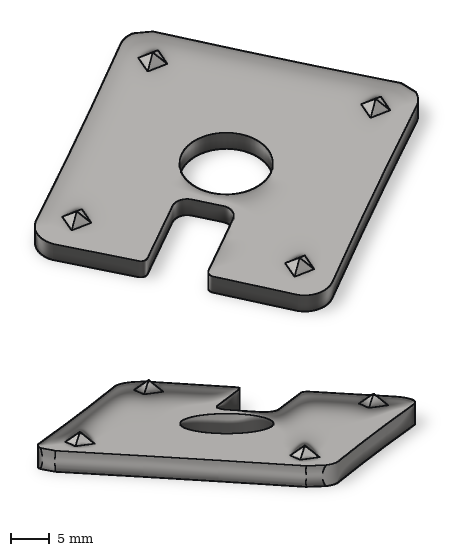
import cadquery as cq

half_width = 40.0 / 2
front_y = -21.7
back_y = 21.95
plate_thickness = 2.8
overall_height = 4.25
hole_radius = 6.0

corner_x = 3.45
corner_y = 3.93
corner_mid_x = 1.05
corner_mid_y = 1.15
pinch = 0.15
side_flat_half = 5.45

notch_half_width = 4.1
notch_end_y = -8.03
notch_end_radius = 2.0
mouth_radius = 0.9
end_flat_half = notch_half_width + mouth_radius

crown_depth = 0.17
crown_corner_x = 16.8
crown_end_x = 19.2
crown_end_drop = 1.15
cutter_reach = 1.75
cutter_margin = 0.45

stud_x = 15.05
stud_y = 16.27
stud_half_x = 1.95
stud_half_y = 2.2


def make_plate():
    """Rounded plate whose straight edges step in slightly towards a flat middle."""
    x, inner_x = half_width, half_width - pinch
    shoulder_x = half_width - corner_x
    mid_x = half_width - corner_mid_x
    front_shoulder = front_y + corner_y
    back_shoulder = back_y - corner_y
    return (
        cq.Workplane("XY")
        .moveTo(-end_flat_half, front_y + pinch)
        .lineTo(end_flat_half, front_y + pinch)
        .lineTo(shoulder_x, front_y)
        .threePointArc((mid_x, front_y + corner_mid_y), (x, front_shoulder))
        .lineTo(inner_x, -side_flat_half)
        .lineTo(inner_x, side_flat_half)
        .lineTo(x, back_shoulder)
        .threePointArc((mid_x, back_y - corner_mid_y), (shoulder_x, back_y))
        .lineTo(end_flat_half, back_y - pinch)
        .lineTo(-end_flat_half, back_y - pinch)
        .lineTo(-shoulder_x, back_y)
        .threePointArc((-mid_x, back_y - corner_mid_y), (-x, back_shoulder))
        .lineTo(-inner_x, side_flat_half)
        .lineTo(-inner_x, -side_flat_half)
        .lineTo(-x, front_shoulder)
        .threePointArc((-mid_x, front_y + corner_mid_y), (-shoulder_x, front_y))
        .close()
        .extrude(plate_thickness)
    )


def make_notch():
    """Slot with rounded inner corners and a mouth that flares in two small radii."""
    mouth_y = front_y + pinch
    flare_offset = mouth_radius * (1 - 0.5 ** 0.5)
    flare_x = notch_half_width + flare_offset
    flare_y = mouth_y + flare_offset
    return (
        cq.Workplane("XY")
        .moveTo(-end_flat_half, mouth_y)
        .threePointArc((-flare_x, flare_y), (-notch_half_width, mouth_y + mouth_radius))
        .lineTo(-notch_half_width, notch_end_y - notch_end_radius)
        .radiusArc((-notch_half_width + notch_end_radius, notch_end_y), notch_end_radius)
        .lineTo(notch_half_width - notch_end_radius, notch_end_y)
        .radiusArc((notch_half_width, notch_end_y - notch_end_radius), notch_end_radius)
        .lineTo(notch_half_width, mouth_y + mouth_radius)
        .threePointArc((flare_x, flare_y), (end_flat_half, mouth_y))
        .close()
        .extrude(plate_thickness)
    )


def make_crown_cutter():
    """Cutter swept along the back edge and across its corners, leaving a crown."""
    path = cq.Workplane("XY").polyline([
        (-crown_end_x, back_y - crown_end_drop),
        (-crown_corner_x, back_y),
        (-end_flat_half, back_y - pinch),
        (end_flat_half, back_y - pinch),
        (crown_corner_x, back_y),
        (crown_end_x, back_y - crown_end_drop),
    ])
    start = cq.Vector(-crown_end_x, back_y - crown_end_drop, 0)
    along = cq.Vector(crown_end_x - crown_corner_x, crown_end_drop, 0)
    outward = cq.Vector(-along.y, along.x, 0)
    section = cq.Workplane(cq.Plane(origin=start, xDir=outward, normal=along))
    return (
        section
        .moveTo(-crown_depth, 0)
        .threePointArc((0, plate_thickness / 2), (-crown_depth, plate_thickness))
        .lineTo(-crown_depth, plate_thickness + cutter_margin)
        .lineTo(cutter_reach, plate_thickness + cutter_margin)
        .lineTo(cutter_reach, -cutter_margin)
        .lineTo(-crown_depth, -cutter_margin)
        .close()
        .sweep(path, transition="right")
    )


def make_stud(x, y):
    """Four-sided pyramid with a diamond-shaped base standing on the plate."""
    base_z = plate_thickness
    corners = [
        cq.Vector(x + stud_half_x, y, base_z),
        cq.Vector(x, y + stud_half_y, base_z),
        cq.Vector(x - stud_half_x, y, base_z),
        cq.Vector(x, y - stud_half_y, base_z),
    ]
    tip = cq.Vector(x, y, overall_height)
    faces = [cq.Face.makeFromWires(cq.Wire.makePolygon(corners, close=True))]
    for index, corner in enumerate(corners):
        next_corner = corners[(index + 1) % len(corners)]
        side = cq.Wire.makePolygon([corner, next_corner, tip], close=True)
        faces.append(cq.Face.makeFromWires(side))
    return cq.Workplane(obj=cq.Solid.makeSolid(cq.Shell.makeShell(faces)))


hole = cq.Workplane("XY").circle(hole_radius).extrude(plate_thickness)
result = make_plate().cut(hole).cut(make_notch()).cut(make_crown_cutter())

for stud_side_x in (-stud_x, stud_x):
    for stud_side_y in (-stud_y, stud_y):
        result = result.union(make_stud(stud_side_x, stud_side_y))